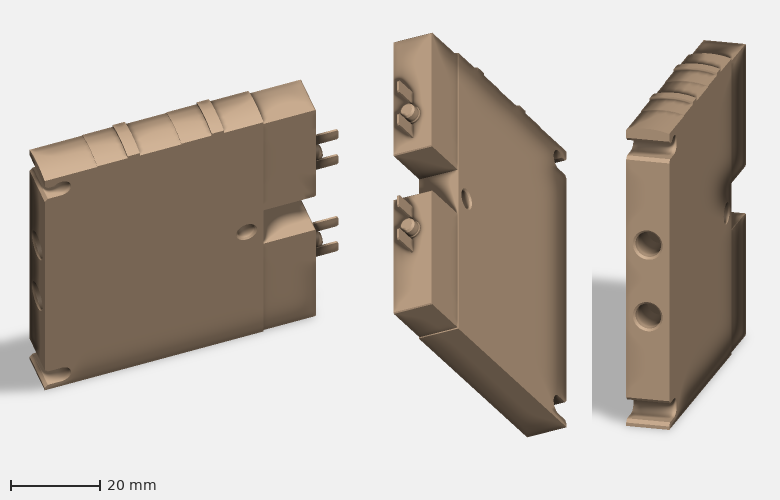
import cadquery as cq

BODY_WIDTH = 10.0
BODY_DEPTH = 52.0
MID_Z = 34.9

CROWN_RISE = 0.75
CROWN_TOP = 71.0
STEP_TOP = 71.2
RIDGE_TOP = 71.8
RIDGE_LENGTH = 2.9
STEP_LENGTH = 7.2
STEP_FRONT_YS = (12.5, 32.5)

SLOT_HEIGHT = 4.5
SLOT_END_Y = 6.25
SLOT_MOUTH_CHAMFER = 0.75
UPPER_SLOT_FLOOR = 64.0
UPPER_SLOT_MOUTH_HEIGHT = 3.65
LOWER_SLOT_FLOOR = 1.55

PORT_DIAMETER = 5.92
PORT_SPACING = 17.0
PORT_DEPTH = 10.0
PORT_CHAMFER = 0.5

CROSS_HOLE_DIAMETER = 4.2
CROSS_HOLE_Y = 48.0
CROSS_HOLE_CHAMFER = 0.4

COIL_WIDTH = 9.7
COIL_DEPTH = 12.5
COIL_HEIGHT = 29.0
COIL_GAP = 11.2
COIL_CHAMFER = 0.25
COIL_BACK_Y = BODY_DEPTH + COIL_DEPTH

CONTACT_OFFSET_Z = 14.6
BLADE_SPACING = 8.4
BLADE_THICKNESS = 0.5
BLADE_HEIGHT = 2.9
BLADE_LENGTH = 7.0
BLADE_CHAMFER = 0.4
SCREW_DIAMETER = 3.6
SCREW_LENGTH = 2.9
SCREW_CHAMFER = 0.45
SCREW_COLLAR_DIAMETER = 4.2
SCREW_COLLAR_LENGTH = 0.5


def box(width, y_start, y_end, z_start, z_end):
    """Box centred on x = 0 between the given Y and Z limits."""
    size_y = y_end - y_start
    size_z = z_end - z_start
    return (
        cq.Workplane("XY")
        .box(width, size_y, size_z, centered=(True, False, False))
        .translate((0, y_start, z_start))
    )


def crowned_block(y_start, length, top):
    """Stretch of the plate, flat below and arched on top."""
    half = BODY_WIDTH / 2
    edge_z = top - CROWN_RISE
    return (
        cq.Workplane("XZ", origin=(0, y_start, 0))
        .moveTo(-half, 0)
        .lineTo(half, 0)
        .lineTo(half, edge_z)
        .threePointArc((0, top), (-half, edge_z))
        .close()
        .extrude(-length)
    )


def cylinder_along_y(diameter, y_start, length, z):
    return cq.Workplane("XZ", origin=(0, y_start, z)).circle(diameter / 2).extrude(-length)


def make_body():
    body = crowned_block(0, BODY_DEPTH, CROWN_TOP)
    for front_y in STEP_FRONT_YS:
        body = body.union(crowned_block(front_y, STEP_LENGTH, STEP_TOP))
        body = body.union(crowned_block(front_y + STEP_LENGTH, RIDGE_LENGTH, RIDGE_TOP))
    return body


def slot_mouth(floor_z, ceiling_z):
    """Bevels that widen a slot where it meets the front face."""
    bevel = SLOT_MOUTH_CHAMFER
    return (
        cq.Workplane("YZ")
        .moveTo(0, floor_z - bevel)
        .lineTo(bevel, floor_z)
        .lineTo(bevel, ceiling_z)
        .lineTo(0, ceiling_z + bevel)
        .close()
        .extrude(BODY_WIDTH / 2, both=True)
    )


def hook_slot(floor_z, mouth_height):
    """Round-ended slot; a mouth lower than the round end leaves a lip above it."""
    radius = SLOT_HEIGHT / 2
    centre_y = SLOT_END_Y - radius
    mouth_ceiling = floor_z + mouth_height
    socket = (
        cq.Workplane("YZ")
        .center(centre_y, floor_z + radius)
        .circle(radius)
        .extrude(BODY_WIDTH / 2, both=True)
    )
    opening = box(BODY_WIDTH, 0, centre_y, floor_z, mouth_ceiling)
    return socket.union(opening).union(slot_mouth(floor_z, mouth_ceiling))


def port(z):
    """Blind port drilled from the front face, with a chamfered rim."""
    radius = PORT_DIAMETER / 2
    return (
        cq.Workplane("XY")
        .lineTo(radius + PORT_CHAMFER, 0)
        .lineTo(radius, PORT_CHAMFER)
        .lineTo(radius, PORT_DEPTH)
        .lineTo(0, PORT_DEPTH)
        .close()
        .revolve(360, (0, 0, 0), (0, 1, 0))
        .translate((0, 0, z))
    )


def cross_hole():
    """Hole through the plate along X, chamfered on both sides."""
    radius = CROSS_HOLE_DIAMETER / 2
    half = BODY_WIDTH / 2
    rim_radius = radius + CROSS_HOLE_CHAMFER
    return (
        cq.Workplane("XY")
        .moveTo(-half, 0)
        .lineTo(-half, rim_radius)
        .lineTo(-half + CROSS_HOLE_CHAMFER, radius)
        .lineTo(half - CROSS_HOLE_CHAMFER, radius)
        .lineTo(half, rim_radius)
        .lineTo(half, 0)
        .close()
        .revolve(360, (0, 0, 0), (1, 0, 0))
        .translate((0, CROSS_HOLE_Y, MID_Z))
    )


def coil_unit():
    """Upper coil block with its contact blades and screw."""
    bottom_z = MID_Z + COIL_GAP / 2
    unit = box(COIL_WIDTH, BODY_DEPTH, COIL_BACK_Y, bottom_z, bottom_z + COIL_HEIGHT)
    unit = unit.edges("|X and >Y").chamfer(COIL_CHAMFER)

    screw_z = MID_Z + CONTACT_OFFSET_Z
    for side in (-1, 1):
        blade_bottom = screw_z + side * BLADE_SPACING / 2 - BLADE_HEIGHT / 2
        blade_end = COIL_BACK_Y + BLADE_LENGTH
        blade = box(BLADE_THICKNESS, COIL_BACK_Y, blade_end, blade_bottom, blade_bottom + BLADE_HEIGHT)
        unit = unit.union(blade.edges("|X and >Y").chamfer(BLADE_CHAMFER))

    screw = cylinder_along_y(SCREW_DIAMETER, COIL_BACK_Y, SCREW_LENGTH, screw_z)
    screw = screw.faces(">Y").chamfer(SCREW_CHAMFER)
    collar = cylinder_along_y(SCREW_COLLAR_DIAMETER, COIL_BACK_Y, SCREW_COLLAR_LENGTH, screw_z)
    return unit.union(screw).union(collar)


result = make_body().cut(cross_hole())
result = result.cut(hook_slot(UPPER_SLOT_FLOOR, UPPER_SLOT_MOUTH_HEIGHT))
result = result.cut(hook_slot(LOWER_SLOT_FLOOR, SLOT_HEIGHT))
for side in (-1, 1):
    result = result.cut(port(MID_Z + side * PORT_SPACING / 2))

upper_coil = coil_unit()
lower_coil = upper_coil.mirror("XY", (0, 0, MID_Z))
result = result.union(upper_coil).union(lower_coil)